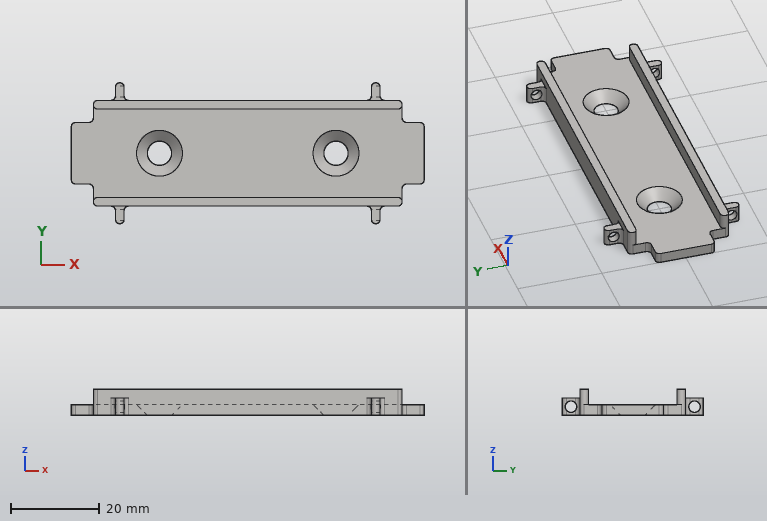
import cadquery as cq

length = 80.0
floor_thickness = 2.5
body_length = 70.0
body_width = 24.0
tab_width = 14.0
corner_radius = 1.0

wall_height = 6.0
wall_thickness = 2.0
wall_center_y = (body_width - wall_thickness) / 2

overall_width = 32.0
lug_thickness = 2.0
lug_height = 4.0
lug_spacing = 58.0
lug_root_radius = 1.0
lug_hole_diameter = 2.6
lug_hole_y = (body_width + overall_width) / 4
lug_hole_z = lug_height / 2

screw_spacing = 40.0
screw_top_diameter = 10.4
screw_bottom_diameter = screw_top_diameter - 2 * floor_thickness


def make_floor():
    """Cross-shaped plate reaching the middle of each side wall."""
    center = cq.Workplane("XY").rect(body_length, 2 * wall_center_y).extrude(floor_thickness)
    tabs = (
        cq.Workplane("XY")
        .rect(length, tab_width)
        .extrude(floor_thickness)
        .edges("|Z")
        .fillet(corner_radius)
    )
    plate = center.union(tabs)
    inner_corners = cq.selectors.BoxSelector(
        (-body_length / 2 - corner_radius, -tab_width / 2 - corner_radius, 0),
        (body_length / 2 + corner_radius, tab_width / 2 + corner_radius, floor_thickness),
    )
    return plate.edges("|Z").edges(inner_corners).fillet(corner_radius)


def make_wall(side):
    """Upright rail on the +Y (side = 1) or -Y (side = -1) edge."""
    return (
        cq.Workplane("XY")
        .center(0, side * wall_center_y)
        .slot2D(body_length, wall_thickness)
        .extrude(wall_height)
    )


def make_lug(x):
    """Round-tipped lug on the +Y wall, with concave root fillets and a cross hole."""
    half = lug_thickness / 2
    root_half = half + lug_root_radius
    root_y = body_width / 2
    embedded_y = wall_center_y
    fillet_end_y = root_y + lug_root_radius
    tip_center_y = overall_width / 2 - half
    fillet_reach = lug_root_radius * (1 - 0.5 ** 0.5)
    fillet_mid_x = half + fillet_reach
    fillet_mid_y = root_y + fillet_reach
    lug = (
        cq.Workplane("XY")
        .moveTo(-root_half, embedded_y)
        .lineTo(-root_half, root_y)
        .threePointArc((-fillet_mid_x, fillet_mid_y), (-half, fillet_end_y))
        .lineTo(-half, tip_center_y)
        .threePointArc((0, overall_width / 2), (half, tip_center_y))
        .lineTo(half, fillet_end_y)
        .threePointArc((fillet_mid_x, fillet_mid_y), (root_half, root_y))
        .lineTo(root_half, embedded_y)
        .close()
        .extrude(lug_height)
    )
    hole = (
        cq.Workplane("YZ")
        .center(lug_hole_y, lug_hole_z)
        .circle(lug_hole_diameter / 2)
        .extrude(root_half, both=True)
    )
    return lug.cut(hole).translate((x, 0, 0))


def make_screw_hole(x):
    """Conical cutter, narrow at the underside and wide at the floor surface."""
    cone = cq.Solid.makeCone(screw_bottom_diameter / 2, screw_top_diameter / 2, floor_thickness)
    return cq.Workplane(cone).translate((x, 0, 0))


result = make_floor()
for side in (-1, 1):
    result = result.union(make_wall(side))
for end in (-1, 1):
    lug = make_lug(end * lug_spacing / 2)
    result = result.union(lug).union(lug.mirror("XZ"))
    result = result.cut(make_screw_hole(end * screw_spacing / 2))